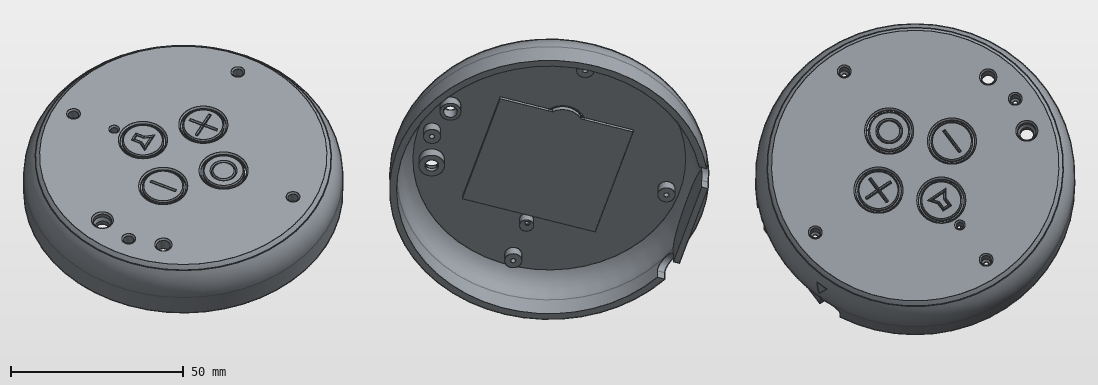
import cadquery as cq
import math

OUTER_RADIUS = 46.2
HEIGHT = 16.2
DOME_START = 6.8
DOME_RADIUS = 11.7
WALL = 2.0
PLATE_THICKNESS = 1.0
DOME_CENTER_RADIUS = OUTER_RADIUS - DOME_RADIUS

RING_GROOVE_HEIGHT = 15.1
RING_GROOVE_SIZE = 0.1

SLOT_OUTER_X = 20.6
SLOT_WIDTH = 6.65
SLOT_TOP = 6.6
TAB_INNER_Y = 41.9
TAB_OUTER_Y = 43.7

MARK_ANGLE = 107.4
MARK_HEIGHT = 10.7
MARK_WIDTH = 3.6
MARK_LENGTH = 4.0
MARK_DEPTH = 0.3

BOSS_HEIGHT = 4.2
BOSS_WALL = 1.0
BOSS_BOTTOM = HEIGHT - BOSS_HEIGHT
HOLE_CHAMFER = 0.5
SCREW_OFFSET = 35.5
SCREW_BORE = 3.0
SCREW_CONE_HEIGHT = 0.6
SCREW_TIP = 1.5
LED_X = -22.4
LED_BORE = 2.0
LED_FLOOR = 0.6
LED_PORT = 1.5
LED_PORT_SHIFT = 0.8
PORT_X = 10.0
LARGE_PORT_Y = -32.5
LARGE_PORT_SEAT = 5.4
LARGE_PORT_SEAT_DEPTH = 1.8
LARGE_PORT_CONE_HEIGHT = 1.0
LARGE_PORT_BORE = 4.0
SMALL_PORT_Y = -33.0
SMALL_PORT_BORE = 4.0

BUTTON_OFFSET = 13.0
BUTTON_DIAMETER = 12.0
BUTTON_CHAMFER = 0.4
BUTTON_HOLE = 13.2
SHEET_THICKNESS = 1.0
SHEET_REACH = 20.1
SHEET_RIGHT = 17.2

STROKE_DEPTH = 0.42
PLUS_LENGTH = 8.8
MINUS_LENGTH = 8.0
POWER_RING_OUTER = 7.8
SPEAKER_STROKE_DEPTH = 0.4
SPEAKER_BACK = -2.7
SPEAKER_NECK = -0.2
SPEAKER_FRONT = 1.85
SPEAKER_BACK_HALF = 1.1
SPEAKER_FRONT_HALF = 2.6

PLATE_BOTTOM = HEIGHT - PLATE_THICKNESS


def dome_point(radius, height):
    """Point (distance from the axis, height) on a dome arc of the given radius."""
    reach = math.sqrt(radius**2 - (height - DOME_START)**2)
    return DOME_CENTER_RADIUS + reach, height


def domed_body(radius, top):
    """Solid of revolution: a straight wall, a dome of the given radius and a flat top."""
    middle = dome_point(radius, (DOME_START + top) / 2)
    return (
        cq.Workplane("XZ")
        .lineTo(DOME_CENTER_RADIUS + radius, 0)
        .lineTo(DOME_CENTER_RADIUS + radius, DOME_START)
        .threePointArc(middle, dome_point(radius, top))
        .lineTo(0, top)
        .close()
        .revolve(360, (0, 0, 0), (0, 1, 0))
    )


def stepped_hole(x, y, sections):
    """Hole cutter through successive (height, diameter) sections, from the top down."""
    outline = [(diameter / 2, height) for height, diameter in sections]
    return (
        cq.Workplane("XZ")
        .moveTo(0, sections[0][0])
        .polyline(outline, includeCurrent=True)
        .lineTo(0, sections[-1][0])
        .close()
        .revolve(360, (0, 0, 0), (0, 1, 0))
        .translate((x, y, 0))
    )


def chamfered_hole(x, y, sections):
    """Stepped hole cutter below a chamfered rim; the first section starts under the chamfer."""
    bore = sections[0][1]
    rim = [(HEIGHT, bore + 2 * HOLE_CHAMFER), (HEIGHT - HOLE_CHAMFER, bore)]
    return stepped_hole(x, y, rim + sections)


def ring_groove():
    radius, height = dome_point(DOME_RADIUS, RING_GROOVE_HEIGHT)
    return cq.Workplane(cq.Solid.makeTorus(radius, RING_GROOVE_SIZE, cq.Vector(0, 0, height)))


def tab_backing(envelope):
    """Thick flat-faced wall section that the tab is cut from, trimmed to the outer envelope."""
    return (
        cq.Workplane("XY", origin=(0, TAB_INNER_Y, 0))
        .box(2 * SLOT_OUTER_X, OUTER_RADIUS - TAB_INNER_Y, PLATE_BOTTOM, centered=(True, False, False))
        .intersect(envelope)
    )


def tab_slot(side):
    """Slot cutter with a full-round top, on the -X (side = -1) or +X (side = 1) side of the tab."""
    round_radius = SLOT_WIDTH / 2
    round_center = SLOT_TOP - round_radius
    return (
        cq.Workplane("XZ", origin=(side * (SLOT_OUTER_X - round_radius), OUTER_RADIUS, 0))
        .moveTo(-round_radius, 0)
        .lineTo(-round_radius, round_center)
        .threePointArc((0, SLOT_TOP), (round_radius, round_center))
        .lineTo(round_radius, 0)
        .close()
        .extrude(OUTER_RADIUS / 2)
    )


def tab_recess():
    """Cutter that sets the outer face of the tab back from the wall."""
    return (
        cq.Workplane("XY", origin=(0, TAB_OUTER_Y, 0))
        .box(2 * SLOT_OUTER_X, OUTER_RADIUS, SLOT_TOP, centered=(True, False, False))
    )


def dome_mark():
    """Shallow triangular pocket, pointing down, square to the dome surface."""
    radius, height = dome_point(DOME_RADIUS, MARK_HEIGHT)
    around = math.radians(MARK_ANGLE)
    tilt = math.asin((MARK_HEIGHT - DOME_START) / DOME_RADIUS)
    plane = cq.Plane(
        origin=(radius * math.cos(around), radius * math.sin(around), height),
        xDir=(-math.sin(around), math.cos(around), 0),
        normal=(math.cos(tilt) * math.cos(around), math.cos(tilt) * math.sin(around), math.sin(tilt)),
    )
    return (
        cq.Workplane(plane)
        .workplane(offset=-MARK_DEPTH)
        .polyline([
            (-MARK_WIDTH / 2, MARK_LENGTH / 2),
            (MARK_WIDTH / 2, MARK_LENGTH / 2),
            (0, -MARK_LENGTH / 2),
        ])
        .close()
        .extrude(2 * MARK_DEPTH)
    )


def boss(x, y, bore):
    """Round post under the top plate, around a hole of the given bore."""
    return (
        cq.Workplane("XY", origin=(x, y, BOSS_BOTTOM))
        .circle(bore / 2 + BOSS_WALL)
        .extrude(PLATE_BOTTOM - BOSS_BOTTOM)
    )


def screw_hole(x, y):
    """Chamfered bore with a conical floor."""
    return chamfered_hole(x, y, [
        (BOSS_BOTTOM + SCREW_CONE_HEIGHT, SCREW_BORE),
        (BOSS_BOTTOM, SCREW_TIP),
    ])


def led_hole():
    """Chamfered blind bore with a small off-centre port through its floor."""
    port = (
        cq.Workplane("XY", origin=(LED_X + LED_PORT_SHIFT, 0, BOSS_BOTTOM))
        .circle(LED_PORT / 2)
        .extrude(LED_FLOOR)
    )
    return chamfered_hole(LED_X, 0, [(BOSS_BOTTOM + LED_FLOOR, LED_BORE)]).union(port)


def large_port():
    """Chamfered bore that narrows through a cone."""
    seat_bottom = HEIGHT - LARGE_PORT_SEAT_DEPTH
    return chamfered_hole(-PORT_X, LARGE_PORT_Y, [
        (seat_bottom, LARGE_PORT_SEAT),
        (seat_bottom - LARGE_PORT_CONE_HEIGHT, LARGE_PORT_BORE),
        (BOSS_BOTTOM, LARGE_PORT_BORE),
    ])


def small_port():
    return chamfered_hole(PORT_X, SMALL_PORT_Y, [(BOSS_BOTTOM, SMALL_PORT_BORE)])


def button_hole(x, y):
    return chamfered_hole(x, y, [(PLATE_BOTTOM, BUTTON_HOLE)])


def around_center(offset):
    """Four places on the axes: +X, +Y, -X and -Y."""
    return [(offset, 0), (0, offset), (-offset, 0), (0, -offset)]


def make_housing():
    envelope = domed_body(DOME_RADIUS, HEIGHT)
    housing = envelope.cut(domed_body(DOME_RADIUS - WALL, PLATE_BOTTOM))
    housing = housing.union(tab_backing(envelope)).cut(tab_recess())
    for side in (-1, 1):
        housing = housing.cut(tab_slot(side))
    housing = housing.cut(ring_groove()).cut(dome_mark())
    for x, y in around_center(SCREW_OFFSET):
        housing = housing.union(boss(x, y, SCREW_BORE)).cut(screw_hole(x, y))
    housing = housing.union(boss(LED_X, 0, LED_BORE)).cut(led_hole())
    housing = housing.union(boss(-PORT_X, LARGE_PORT_Y, LARGE_PORT_SEAT)).cut(large_port())
    housing = housing.union(boss(PORT_X, SMALL_PORT_Y, SMALL_PORT_BORE)).cut(small_port())
    for x, y in around_center(BUTTON_OFFSET):
        housing = housing.cut(button_hole(x, y))
    return housing


def stroke_profile(plane, x, y, depth):
    """Square standing on its corner, centred on the button face, whose lower half cuts a V groove."""
    return cq.Workplane(plane, origin=(x, y, HEIGHT)).polygon(4, 2 * depth)


def bar_stroke(plane, y, length):
    """V groove cutter square to the given plane, centred on a button on the Y axis."""
    return stroke_profile(plane, 0, y, STROKE_DEPTH).extrude(length / 2, both=True)


def power_stroke(x, y):
    ring_radius = POWER_RING_OUTER / 2 - STROKE_DEPTH
    return (
        stroke_profile("XZ", x + ring_radius, y, STROKE_DEPTH)
        .revolve(360, (-ring_radius, 0, 0), (-ring_radius, 1, 0))
    )


def speaker_stroke(x, y):
    path = (
        cq.Workplane("XY", origin=(x, y, HEIGHT))
        .moveTo(SPEAKER_BACK, 0)
        .lineTo(SPEAKER_BACK, SPEAKER_BACK_HALF)
        .lineTo(SPEAKER_NECK, SPEAKER_BACK_HALF)
        .lineTo(SPEAKER_FRONT, SPEAKER_FRONT_HALF)
        .lineTo(SPEAKER_FRONT, -SPEAKER_FRONT_HALF)
        .lineTo(SPEAKER_NECK, -SPEAKER_BACK_HALF)
        .lineTo(SPEAKER_BACK, -SPEAKER_BACK_HALF)
        .close()
    )
    return (
        stroke_profile("XZ", x + SPEAKER_BACK, y, SPEAKER_STROKE_DEPTH)
        .sweep(path, transition="right")
    )


def make_keypad():
    sheet_bottom = PLATE_BOTTOM - SHEET_THICKNESS
    keypad = (
        cq.Workplane("XY", origin=(-SHEET_REACH, 0, sheet_bottom))
        .box(SHEET_REACH + SHEET_RIGHT, 2 * SHEET_REACH, SHEET_THICKNESS, centered=(False, True, False))
    )
    for x, y in around_center(BUTTON_OFFSET):
        button = (
            cq.Workplane("XY", origin=(x, y, sheet_bottom))
            .circle(BUTTON_DIAMETER / 2)
            .extrude(HEIGHT - sheet_bottom)
            .faces(">Z")
            .chamfer(BUTTON_CHAMFER)
        )
        keypad = keypad.union(button)
    keypad = keypad.cut(bar_stroke("YZ", BUTTON_OFFSET, PLUS_LENGTH))
    keypad = keypad.cut(bar_stroke("XZ", BUTTON_OFFSET, PLUS_LENGTH))
    keypad = keypad.cut(bar_stroke("YZ", -BUTTON_OFFSET, MINUS_LENGTH))
    return keypad.cut(power_stroke(BUTTON_OFFSET, 0)).cut(speaker_stroke(-BUTTON_OFFSET, 0))


housing = make_housing()
keypad = make_keypad()
result = cq.Compound.makeCompound([housing.solids().val(), keypad.solids().val()])